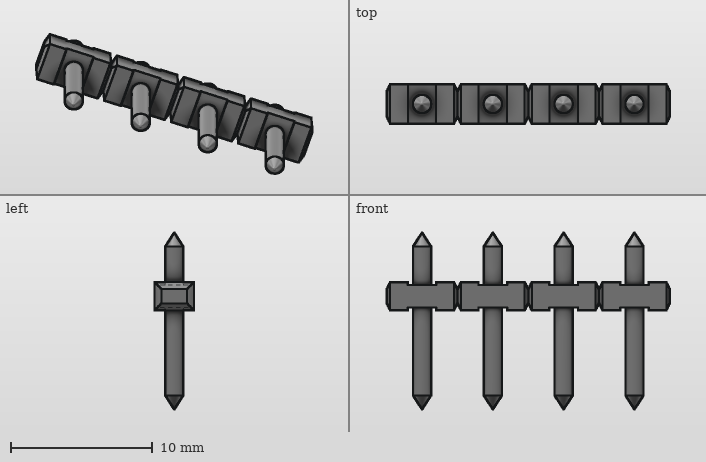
import cadquery as cq

pin_count = 4
pitch = 5.0

body_width = 2.8
body_height = 2.0
end_taper_length = 0.25
end_taper_inset = 0.5
recess_length = 2.0
recess_depth = 0.2

pin_diameter = 1.3
pin_tip_length = 1.0
pin_above_body = 3.5
pin_below_body = 7.0

straight_length = pitch - 2 * end_taper_length
end_face_width = body_width - 2 * end_taper_inset
end_face_height = body_height - 2 * end_taper_inset


def tapered_end(side):
    """Frustum at one end of a body; side is -1 for the -X end and +1 for the +X end."""
    base = cq.Plane(
        origin=(side * straight_length / 2, 0, 0),
        xDir=(0, 1, 0),
        normal=(side, 0, 0),
    )
    return (
        cq.Workplane(base)
        .rect(body_width, body_height)
        .workplane(offset=end_taper_length)
        .rect(end_face_width, end_face_height)
        .loft(ruled=True)
    )


def make_body():
    """Block with tapered ends and a shallow recess across its top and bottom."""
    body = cq.Workplane("XY").box(straight_length, body_width, body_height)
    for side in (-1, 1):
        body = body.union(tapered_end(side))
        recess_center = side * (body_height - recess_depth) / 2
        recess = cq.Workplane("XY").box(recess_length, body_width, recess_depth)
        body = body.cut(recess.translate((0, 0, recess_center)))
    return body


def make_pin():
    """Round pin with conical tips, revolved about Z."""
    radius = pin_diameter / 2
    top = body_height / 2 + pin_above_body
    bottom = -body_height / 2 - pin_below_body
    return (
        cq.Workplane("XZ")
        .moveTo(0, bottom)
        .lineTo(radius, bottom + pin_tip_length)
        .lineTo(radius, top - pin_tip_length)
        .lineTo(0, top)
        .close()
        .revolve(360, (0, 0, 0), (0, 1, 0))
    )


def make_row():
    """Pinned bodies joined end face to end face along X."""
    unit = make_body().union(make_pin())
    first_x = -(pin_count - 1) * pitch / 2
    row = unit.translate((first_x, 0, 0))
    for index in range(1, pin_count):
        row = row.union(unit.translate((first_x + index * pitch, 0, 0)))
    return row


result = make_row()